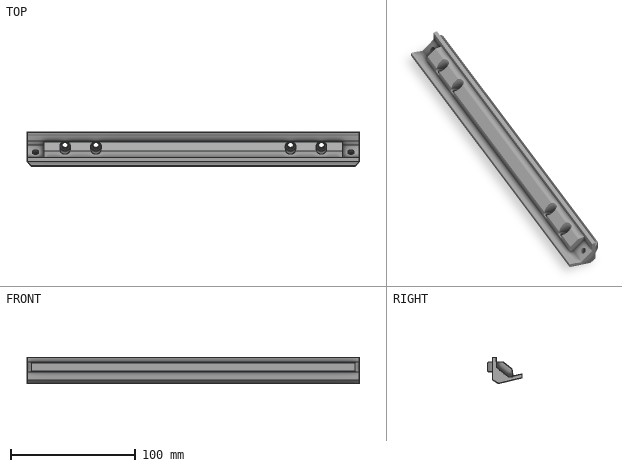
import cadquery as cq
import math

length = 267.5
depth = 27.8
height = 21.1

wall_front = 4.0
wall_thickness = 3.2
wall_back = wall_front + wall_thickness
wall_back_foot = 13.0

lip_slope = 0.24
lip_angle = math.degrees(math.atan(lip_slope))
keel_y = 8.8
front_edge_z = 3.0
tip_top = 7.8
tip_land_y = 25.5
tip_land_z = 7.2
step_y = 20.5
step_height = 0.32
valley_y = 17.5
valley_z = 5.0

pad_bottom = 9.4
pad_top = 17.5
pad_end_inset = 3.5
pad_edge_chamfer = 0.8

block_length = 240.8
block_top = pad_top
block_ridge_y = 12.5
block_shoulder = (19.8, 11.8)
block_foot = (step_y, 6.2)

screw_offsets = (78.5, 103.3)
screw_diameter = 5.4
counterbore_diameter = 8.5
counterbore_floor = (16.9, 7.8)

end_hole_offset = 127.0
end_hole_diameter = 4.8
end_hole_y = 11.8
end_hole_depth = 8.0

drill_reach = 26.8


def extrude_along_x(points, run):
    """Extrude a (Y, Z) outline symmetrically about X = 0."""
    return cq.Workplane("YZ").polyline(points).close().extrude(run / 2, both=True)


def cylinder(start, direction, diameter, run):
    return cq.Workplane(cq.Solid.makeCylinder(
        diameter / 2, run, cq.Vector(*start), cq.Vector(*direction)))


def make_rail():
    tip_bottom = lip_slope * (depth - keel_y)
    step_top = tip_land_z - lip_slope * (tip_land_y - step_y)
    return extrude_along_x([
        (wall_front, front_edge_z),
        (keel_y, 0),
        (depth, tip_bottom),
        (depth, tip_top),
        (tip_land_y, tip_land_z),
        (step_y, step_top),
        (step_y, step_top - step_height),
        (valley_y, valley_z),
        (wall_back, wall_back_foot),
        (wall_back, height),
        (wall_front, height),
    ], length)


def make_pad():
    """Bar on the wall front with mitred ends and chamfered long front edges."""
    half = length / 2
    plan = cq.Workplane("XY", origin=(0, 0, pad_bottom)).polyline([
        (-half, wall_front),
        (-half + pad_end_inset, 0),
        (half - pad_end_inset, 0),
        (half, wall_front),
    ]).close().extrude(pad_top - pad_bottom)
    return plan.faces("<Y").edges("|X").chamfer(pad_edge_chamfer)


def make_block():
    """Block that fills the valley between the wall and the lip."""
    return extrude_along_x([
        (wall_front, pad_bottom),
        (keel_y, front_edge_z),
        (valley_y, front_edge_z),
        block_foot,
        block_shoulder,
        (block_ridge_y, block_top),
        (wall_front, block_top),
    ], block_length)


def screw_hole(x):
    """Through hole with a counterbore opening upwards."""
    tilt = math.radians(lip_angle)
    up = (0, -math.sin(tilt), math.cos(tilt))
    down = (0, math.sin(tilt), -math.cos(tilt))
    floor = (x, *counterbore_floor)
    bore = cylinder(floor, down, screw_diameter, drill_reach)
    return bore.union(cylinder(floor, up, counterbore_diameter, drill_reach))


def end_hole(x):
    """Blind hole square to the sloping valley floor."""
    floor_drop = (wall_back_foot - valley_z) / (valley_y - wall_back)
    mouth_z = wall_back_foot - floor_drop * (end_hole_y - wall_back)
    return cylinder((x, end_hole_y, mouth_z), (0, -floor_drop, -1), end_hole_diameter, end_hole_depth)


result = make_rail().union(make_pad()).union(make_block())
for side in (-1, 1):
    for offset in screw_offsets:
        result = result.cut(screw_hole(side * offset))
    result = result.cut(end_hole(side * end_hole_offset))